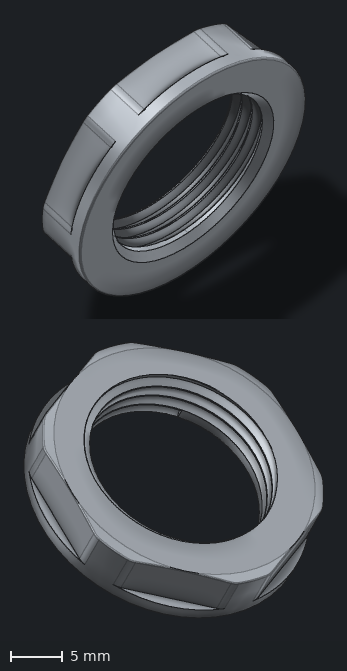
import cadquery as cq
import math

outer_diameter = 28.98
outer_radius = outer_diameter / 2
total_height = 6.0
hex_height = 4.52
flat_count = 6
across_flats = 26.95
corner_round = 2.03
rim_fillet = 0.17
cutter_clearance = 1.45

cone_start_radius = 13.45
cone_angle = 15.0
cone_edge_round = 0.15
cone_zone_bottom = 0.012
cone_zone_top = 0.58

minor_radius = 9.53
major_radius = 10.32
pitches_in_height = 4
thread_pitch = total_height / pitches_in_height
lead_in_turns = 1.0
cut_turns = 3.2
root_width = 0.43
flank_angle = 30.0
thread_start_angle = 115.0
countersink_depth = major_radius - minor_radius


def make_round_blank():
    """Turned blank with a shallow cone on the lower end and a rounded upper rim."""
    cone_height = (outer_radius - cone_start_radius) * math.tan(math.radians(cone_angle))
    blank = (
        cq.Workplane("XZ")
        .lineTo(cone_start_radius, 0)
        .lineTo(outer_radius, cone_height)
        .lineTo(outer_radius, total_height)
        .lineTo(0, total_height)
        .close()
        .revolve(360, (0, 0, 0), (0, 1, 0))
    )
    return blank.faces(">Z").edges().fillet(rim_fillet)


def make_flat_cutter():
    """Material removed beside one flat, blending into the blank by tangent arcs."""
    apothem = across_flats / 2
    arc_center_x = apothem - corner_round
    half_flat = math.sqrt((outer_radius - corner_round) ** 2 - arc_center_x**2)
    tangent_angle = math.atan2(half_flat, arc_center_x)

    def polar(radius, angle):
        return radius * math.cos(angle), radius * math.sin(angle)

    offset_x, offset_y = polar(corner_round, tangent_angle / 2)
    middle_x = arc_center_x + offset_x
    middle_y = half_flat + offset_y
    end_x, end_y = polar(outer_radius, tangent_angle)
    clear_x, clear_y = polar(outer_radius + cutter_clearance, tangent_angle)
    return (
        cq.Workplane("XY")
        .moveTo(apothem, -half_flat)
        .lineTo(apothem, half_flat)
        .threePointArc((middle_x, middle_y), (end_x, end_y))
        .lineTo(clear_x, clear_y)
        .lineTo(outer_radius + cutter_clearance, clear_y)
        .lineTo(outer_radius + cutter_clearance, -clear_y)
        .lineTo(clear_x, -clear_y)
        .lineTo(end_x, -end_y)
        .threePointArc((middle_x, -middle_y), (apothem, -half_flat))
        .close()
        .extrude(hex_height)
    )


def soften_cone_edge(body):
    """Round the edge between the cone and the flats and cylinder around it."""
    reach = outer_diameter
    edge_zone = cq.selectors.BoxSelector(
        (-reach, -reach, cone_zone_bottom), (reach, reach, cone_zone_top)
    )
    return body.edges(edge_zone).edges("not |Z").fillet(cone_edge_round)


def make_thread_groove():
    """Helical groove, open at the lower end and stopping inside the upper end."""
    start = -lead_in_turns * thread_pitch
    half_root = root_width / 2
    half_mouth = half_root + (major_radius - minor_radius) * math.tan(math.radians(flank_angle))
    section = [
        (minor_radius, -half_mouth),
        (major_radius, -half_root),
        (major_radius, half_root),
        (minor_radius, half_mouth),
    ]
    length = (lead_in_turns + cut_turns) * thread_pitch
    helices = [
        cq.Wire.makeHelix(thread_pitch, length, radius, cq.Vector(0, 0, start + offset))
        for radius, offset in section
    ]
    faces = [
        cq.Face.makeRuledSurface(helix, helices[(index + 1) % len(helices)])
        for index, helix in enumerate(helices)
    ]
    for advance in (0, length):
        angle = 2 * math.pi * advance / thread_pitch
        corners = [
            cq.Vector(radius * math.cos(angle), radius * math.sin(angle), start + advance + offset)
            for radius, offset in section
        ]
        faces.append(cq.Face.makeFromWires(cq.Wire.makePolygon(corners, close=True)))
    groove = cq.Solid.makeSolid(cq.Shell.makeShell(faces))
    return cq.Workplane(obj=groove).rotate((0, 0, 0), (0, 0, 1), thread_start_angle)


body = make_round_blank()
flat_cutter = make_flat_cutter()
for index in range(flat_count):
    body = body.cut(flat_cutter.rotate((0, 0, 0), (0, 0, 1), index * 360 / flat_count))
body = soften_cone_edge(body)

bore = cq.Workplane("XY").circle(minor_radius).extrude(total_height)
body = body.cut(bore)
bore_rim = cq.selectors.RadiusNthSelector(0)
body = body.faces(">Z").edges(bore_rim).chamfer(countersink_depth)
body = body.cut(make_thread_groove())

result = body.rotate((0, 0, 0), (0, 1, 0), 90)